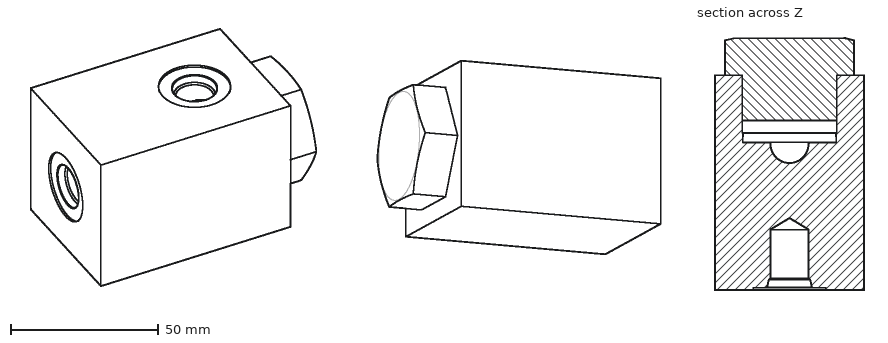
import cadquery as cq
import math

block_width = 50.8
block_length = 73.1
overall_length = 85.75
front_y = -overall_length / 2
block_back_y = front_y + block_length
head_end_y = front_y + overall_length
top_z = block_width / 2

spotface_radius = 12.3
spotface_depth = 0.8
seal_mouth_radius = 7.8
mouth_bevel = 0.3
seal_base_radius = 7.0
seal_depth = 2.7
drill_radius = 6.4
drill_tip_angle = 118.0
in_port_y = 6.8
in_port_depth = top_z
out_port_depth = 20.6

cavity_radius = 16.0
seat_radius = 15.8
seat_length = 3.1
floor_offset = 0.5
cavity_floor_y = in_port_y + floor_offset
seat_step_y = cavity_floor_y + seat_length

hex_across_flats = 38.1
hex_height = overall_length - block_length
hex_corner_radius = hex_across_flats / math.sqrt(3)
crown_radius = 18.6
crown_drop = 0.9
shank_length = 15.4


def port_cutter(depth):
    """Port tool whose axis is Z, entering downward from the origin, straight to the given depth."""
    seal_top_radius = seal_mouth_radius - mouth_bevel
    seal_end = spotface_depth + seal_depth
    bevel_end = seal_end + seal_base_radius - drill_radius
    tip = depth + drill_radius / math.tan(math.radians(drill_tip_angle / 2))
    return (
        cq.Workplane("XZ")
        .moveTo(0, 0)
        .lineTo(spotface_radius, 0)
        .lineTo(spotface_radius, -spotface_depth)
        .lineTo(seal_mouth_radius, -spotface_depth)
        .lineTo(seal_top_radius, -spotface_depth - mouth_bevel)
        .lineTo(seal_base_radius, -seal_end)
        .lineTo(drill_radius, -bevel_end)
        .lineTo(drill_radius, -depth)
        .lineTo(0, -tip)
        .close()
        .revolve(360, (0, 0), (0, 1))
    )


def cavity_cutter():
    """Stepped bore along Y, with a bevel where the seat opens into the wider cavity."""
    bevel_end_y = seat_step_y + cavity_radius - seat_radius
    return (
        cq.Workplane("XY")
        .moveTo(0, cavity_floor_y)
        .lineTo(seat_radius, cavity_floor_y)
        .lineTo(seat_radius, seat_step_y)
        .lineTo(cavity_radius, bevel_end_y)
        .lineTo(cavity_radius, block_back_y)
        .lineTo(0, block_back_y)
        .close()
        .revolve(360, (0, 0), (0, 1))
    )


def make_block():
    block = cq.Workplane("XY").box(block_width, block_length, block_width)
    block = block.translate((0, (front_y + block_back_y) / 2, 0))
    in_port = port_cutter(in_port_depth).translate((0, in_port_y, top_z))
    out_port = port_cutter(out_port_depth).rotate((0, 0, 0), (1, 0, 0), 90).translate((0, front_y, 0))
    return block.cut(in_port).cut(out_port).cut(cavity_cutter())


def make_plug():
    head = (
        cq.Workplane("XZ", origin=(0, block_back_y, 0))
        .polygon(6, 2 * hex_corner_radius)
        .extrude(-hex_height)
    )
    crown = (
        cq.Workplane("XY")
        .moveTo(0, block_back_y)
        .lineTo(hex_corner_radius, block_back_y)
        .lineTo(hex_corner_radius, head_end_y - crown_drop)
        .lineTo(crown_radius, head_end_y)
        .lineTo(0, head_end_y)
        .close()
        .revolve(360, (0, 0), (0, 1))
    )
    shank = cq.Workplane("XZ", origin=(0, block_back_y, 0)).circle(cavity_radius).extrude(shank_length)
    return head.intersect(crown).union(shank)


block = make_block()
plug = make_plug()

result = cq.Compound.makeCompound([block.val(), plug.val()])